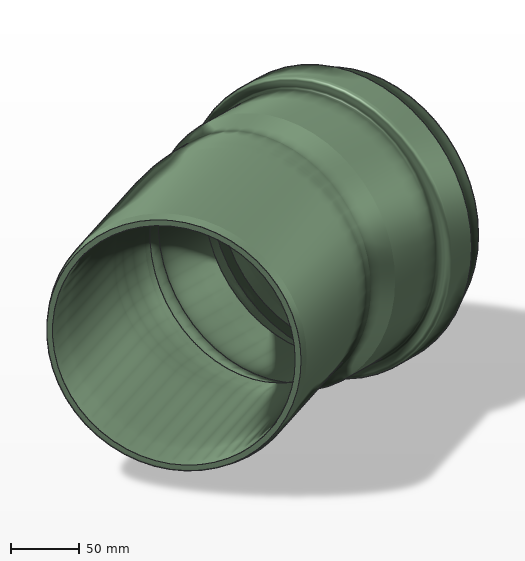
import cadquery as cq
import math

spigot_radius = 200.3 / 2
bore_radius = 187.2 / 2
spigot_length = 146.0
chamfer_length = 7.7
chamfer_depth = 2.0

bend_angle = 15
bend_radius = 100.5

socket_length = 140.0
cone_start = 6.7
cone_end = 28.8
socket_radius = 213.7 / 2
socket_bore_radius = 201.5 / 2

bead_radius = 233.8 / 2
bead_groove_radius = 221.8 / 2
groove_mouth_radius = 103.0
groove_mouth_height = 8.5
bead_bottom = 85.5
bead_top = 118.2
groove_floor = 4.5
bead_wall = bead_radius - bead_groove_radius
bead_bottom_fillet = 3.7
bead_top_fillet = 4.5
root_fillet = 2.7
collar_height = 4.5
collar_mouth_radius = 109.0
collar_base_radius = bead_groove_radius


def revolve_y(profile):
    """Turn a closed XY profile around the Y axis."""
    return profile.close().revolve(360, (0, 0, 0), (0, 1, 0))


def spigot_outside():
    return revolve_y(
        cq.Workplane("XY")
        .lineTo(spigot_radius - chamfer_depth, 0)
        .lineTo(spigot_radius, chamfer_length)
        .lineTo(spigot_radius, spigot_length)
        .lineTo(0, spigot_length)
    )


def spigot_inside():
    return revolve_y(
        cq.Workplane("XY")
        .lineTo(bore_radius, 0)
        .lineTo(bore_radius, spigot_length)
        .lineTo(0, spigot_length)
    )


def bend(radius):
    """Solid elbow joining the spigot to the socket."""
    return (
        cq.Workplane("XZ", origin=(0, spigot_length, 0))
        .circle(radius)
        .revolve(bend_angle, (bend_radius, 0, 0), (bend_radius, -1, 0))
    )


def place_on_bend(body):
    """Move a body from the origin onto the end of the bend."""
    angle = math.radians(bend_angle)
    end_x = bend_radius * (1 - math.cos(angle))
    end_y = spigot_length + bend_radius * math.sin(angle)
    return body.rotate((0, 0, 0), (0, 0, 1), -bend_angle).translate((end_x, end_y, 0))


def socket_outside():
    mouth_corner = bead_top + collar_height
    return place_on_bend(revolve_y(
        cq.Workplane("XY")
        .lineTo(spigot_radius, 0)
        .lineTo(spigot_radius, cone_start)
        .lineTo(socket_radius, cone_end)
        .lineTo(socket_radius, bead_bottom - root_fillet)
        .radiusArc((socket_radius + root_fillet, bead_bottom), root_fillet)
        .lineTo(bead_radius - bead_bottom_fillet, bead_bottom)
        .radiusArc((bead_radius, bead_bottom + bead_bottom_fillet), -bead_bottom_fillet)
        .lineTo(bead_radius, bead_top - bead_top_fillet)
        .radiusArc((bead_radius - bead_top_fillet, bead_top), -bead_top_fillet)
        .lineTo(collar_base_radius, bead_top)
        .lineTo(collar_mouth_radius, mouth_corner)
        .lineTo(socket_radius, mouth_corner)
        .lineTo(socket_radius, socket_length)
        .lineTo(0, socket_length)
    ))


def socket_inside():
    groove_bottom = bead_bottom + groove_floor
    groove_top = bead_top - bead_wall
    return place_on_bend(revolve_y(
        cq.Workplane("XY")
        .lineTo(bore_radius, 0)
        .lineTo(bore_radius, cone_start)
        .lineTo(socket_bore_radius, cone_end)
        .lineTo(socket_bore_radius, groove_bottom)
        .lineTo(bead_groove_radius, groove_bottom)
        .lineTo(bead_groove_radius, groove_top)
        .lineTo(groove_mouth_radius, groove_top)
        .lineTo(socket_bore_radius, groove_top + groove_mouth_height)
        .lineTo(socket_bore_radius, socket_length)
        .lineTo(0, socket_length)
    ))


outside = spigot_outside().union(bend(spigot_radius)).union(socket_outside())
inside = spigot_inside().union(bend(bore_radius)).union(socket_inside())
result = outside.cut(inside)